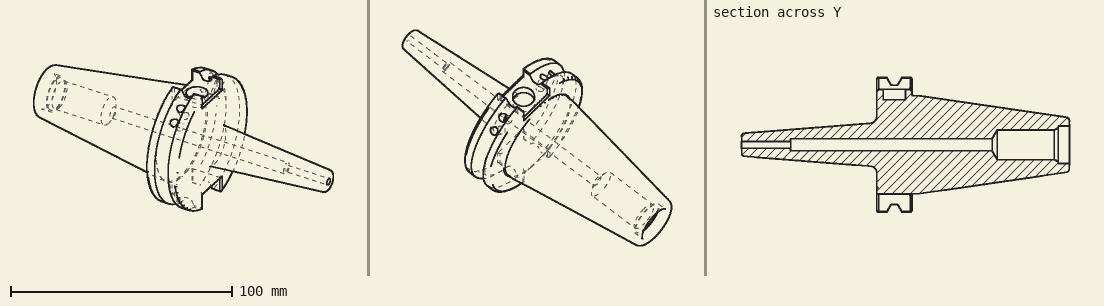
import cadquery as cq
import math

total_length = 148.2
gauge_x = 68.0
flange_start = 71.2
flange_end = 87.2
groove_x = 79.2

gauge_radius = 22.2
taper_slope = 7 / 48
shank_round = 2.0
shank_root_round = 0.5

flange_radius = 31.7
flange_round = 1.0
groove_floor_radius = 28.2
groove_floor_half_width = 1.5
groove_half_angle = math.radians(30)
groove_round = 1.0

nose_end_radius = 5.2
nose_half_angle = math.radians(4.5)
nose_end_round = 1.3
nose_root_round = 3.0

mouth_round = 0.67
pilot_radius = 8.5
pilot_depth = 5.0
thread_radius = 6.7
lead_in_radius = 7.7
lead_in_half_angle = math.radians(30)
thread_depth = 32.6
drill_half_angle = math.radians(59)
coolant_radius = 2.7
clamp_radius = 1.5
clamp_length = 22.2

slot_width = 16.2
slot_chamfer = 0.9
slot_corner_round = 0.7
slot_rim_chamfer = 0.6
upper_slot_floor = 25.0
lower_slot_floor = gauge_radius

pocket_diameter = 10.0
pocket_depth = 4.6
balance_hole_diameter = 3.7
balance_hole_depth = 6.7
balance_hole_angles = (30, 45)


def revolve_about_x(points):
    """Revolve a closed (x, radius) outline about the X axis."""
    return cq.Workplane("XZ").polyline(points).close().revolve(360, (0, 0, 0), (1, 0, 0))


def circle_edges(body, x, radius):
    """Select the circular edge around the X axis at the given place and radius."""
    tolerance = 0.01
    return body.edges("%CIRCLE").filter(
        lambda edge: abs(edge.Center().x - x) < tolerance
        and abs(edge.radius() - radius) < tolerance
    )


def make_body():
    """Taper shank, grooved flange and slim nose as one solid of revolution."""
    shank_end_radius = gauge_radius - gauge_x * taper_slope
    groove_depth = flange_radius - groove_floor_radius
    groove_half_width = groove_floor_half_width + groove_depth * math.tan(groove_half_angle)
    nose_length = total_length - flange_end
    nose_root_radius = nose_end_radius + nose_length * math.tan(nose_half_angle)
    body = revolve_about_x([
        (0, 0),
        (0, shank_end_radius),
        (gauge_x, gauge_radius),
        (flange_start, gauge_radius),
        (flange_start, flange_radius),
        (groove_x - groove_half_width, flange_radius),
        (groove_x - groove_floor_half_width, groove_floor_radius),
        (groove_x + groove_floor_half_width, groove_floor_radius),
        (groove_x + groove_half_width, flange_radius),
        (flange_end, flange_radius),
        (flange_end, nose_root_radius),
        (total_length, nose_end_radius),
        (total_length, 0),
    ])
    rounds = [
        (0, shank_end_radius, shank_round),
        (flange_start, gauge_radius, shank_root_round),
        (flange_start, flange_radius, flange_round),
        (groove_x - groove_floor_half_width, groove_floor_radius, groove_round),
        (groove_x + groove_floor_half_width, groove_floor_radius, groove_round),
        (flange_end, flange_radius, flange_round),
        (flange_end, nose_root_radius, nose_root_round),
        (total_length, nose_end_radius, nose_end_round),
    ]
    for x, edge_radius, round_radius in rounds:
        body = circle_edges(body, x, edge_radius).fillet(round_radius)
    return body


def make_bore():
    """Stepped bore running the whole length of the part."""
    lead_in_length = (lead_in_radius - thread_radius) / math.tan(lead_in_half_angle)
    drill_tip_length = (thread_radius - coolant_radius) / math.tan(drill_half_angle)
    clamp_start = total_length - clamp_length
    return revolve_about_x([
        (0, 0),
        (0, pilot_radius),
        (pilot_depth, pilot_radius),
        (pilot_depth, lead_in_radius),
        (pilot_depth + lead_in_length, thread_radius),
        (thread_depth, thread_radius),
        (thread_depth + drill_tip_length, coolant_radius),
        (clamp_start, coolant_radius),
        (clamp_start, clamp_radius),
        (total_length, clamp_radius),
        (total_length, 0),
    ])


def make_slot_flare():
    """Widening at the top of a slot that bevels the sharp edges at the flange rim."""
    half_width = slot_width / 2
    rim_height = math.sqrt(flange_radius**2 - half_width**2)
    half_top = half_width + 2 * slot_rim_chamfer
    return (
        cq.Workplane("YZ", origin=(flange_start, 0, 0))
        .polyline([
            (-half_width, rim_height - slot_rim_chamfer),
            (half_width, rim_height - slot_rim_chamfer),
            (half_top, rim_height + slot_rim_chamfer),
            (-half_top, rim_height + slot_rim_chamfer),
        ])
        .close()
        .extrude(flange_end - flange_start)
    )


def make_slot(floor, floor_chamfer):
    """Drive slot open towards +Z, with its entries chamfered on both flange faces."""
    half_width = slot_width / 2
    half_mouth = half_width + slot_chamfer
    wall_start = flange_start + slot_chamfer
    wall_end = flange_end - slot_chamfer
    plan = (
        cq.Workplane("XY")
        .polyline([
            (flange_start, -half_mouth),
            (wall_start, -half_width),
            (wall_end, -half_width),
            (flange_end, -half_mouth),
            (flange_end, half_mouth),
            (wall_end, half_width),
            (wall_start, half_width),
            (flange_start, half_mouth),
        ])
        .close()
        .extrude(flange_radius)
    )
    mouth_floor = floor - floor_chamfer
    side = (
        cq.Workplane("XZ")
        .polyline([
            (flange_start, mouth_floor),
            (wall_start, floor),
            (wall_end, floor),
            (flange_end, mouth_floor),
            (flange_end, flange_radius),
            (flange_start, flange_radius),
        ])
        .close()
        .extrude(half_mouth, both=True)
    )
    slot = plan.intersect(side)
    slot = slot.edges("|X").edges("<Z").fillet(slot_corner_round)
    return slot.union(make_slot_flare())


def make_pocket():
    """Round blind pocket in the floor of the upper drive slot."""
    return (
        cq.Workplane("XY", origin=(groove_x, 0, upper_slot_floor - pocket_depth))
        .circle(pocket_diameter / 2)
        .extrude(pocket_depth)
    )


def make_balance_hole(angle):
    """Radial blind hole in the groove floor, turned about the X axis from +Z."""
    return (
        cq.Workplane("XY", origin=(groove_x, 0, groove_floor_radius - balance_hole_depth))
        .circle(balance_hole_diameter / 2)
        .extrude(flange_radius - groove_floor_radius + balance_hole_depth)
        .rotate((0, 0, 0), (1, 0, 0), angle)
    )


result = make_body().cut(make_bore())
result = circle_edges(result, 0, pilot_radius).fillet(mouth_round)

upper_slot = make_slot(upper_slot_floor, slot_chamfer)
lower_slot = make_slot(lower_slot_floor, 0).rotate((0, 0, 0), (1, 0, 0), 180)
result = result.cut(upper_slot).cut(lower_slot)

result = result.cut(make_pocket())

for angle in balance_hole_angles:
    for side in (-1, 1):
        result = result.cut(make_balance_hole(side * angle))